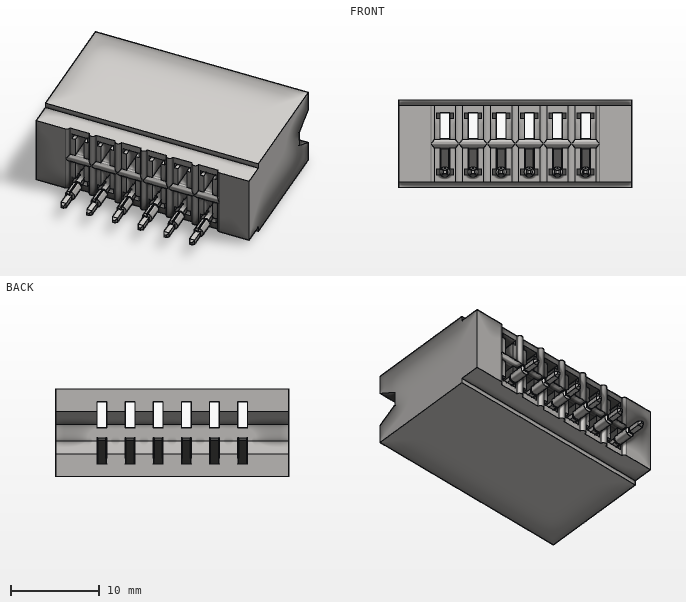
import cadquery as cq


housing_width = 26.3
housing_depth = 16.38
housing_height = 9.9
half_height = housing_height / 2
step_depth = 2.55
step_height = 0.63
front_height = housing_height - 2 * step_height

guide_depth = 2.5
guide_half_mouth = 2.4
guide_half_floor = 0.95

contact_count = 6
row_width = 19.03
pitch = row_width / contact_count
contact_xs = [(i - (contact_count - 1) / 2) * pitch for i in range(contact_count)]
ridge_xs = [(i - contact_count / 2) * pitch for i in range(contact_count + 1)]

recess_depth = 0.37
ridge_half_width = 0.4
rib_half_width = 0.5

slot_width = 1.08
slot_outer_z = 3.5
slot_inner_z = 0.58
lead_in_length = 0.25
pocket_width = 1.95
pocket_depth = 1.7

wire_size = 0.63
pin_z = -slot_outer_z + wire_size / 2
pin_length = 4.45
tip_length = 0.37
tip_size = 0.32
collar_radius = 0.58
collar_end_radius = 0.35
collar_start = 0.05
collar_end = 2.6
barrel_start = 0.4
barrel_end = 2.3
collar_taper = 0.18
seam_width = 0.1
seam_depth = 0.13
shoulder_length = 0.8
blade_width = 0.92
blade_thickness = 0.32
blade_start = 3.15
blade_end = 7.9

pocket_rear = recess_depth + pocket_depth
shoulder_front = pocket_rear - shoulder_length


def box(x_size, y_start, y_end, z_start, z_end, x_center=0.0):
    """Box centred on x_center in X and given by its limits in Y and Z."""
    return cq.Workplane("XY").box(
        x_size, y_end - y_start, z_end - z_start, centered=(True, False, False)
    ).translate((x_center, y_start, z_start))


def side_profile(points, width, x_center):
    """Closed (Y, Z) outline extruded in X, centred on x_center."""
    outline = cq.Workplane("YZ").polyline(points).close()
    return outline.extrude(width / 2, both=True).translate((x_center, 0, 0))


def housing_block():
    """Stepped body with the card guide cut through its rear face."""
    block = box(housing_width, step_depth, housing_depth, -half_height, half_height)
    front = box(housing_width, 0, step_depth, -front_height / 2, front_height / 2)
    guide_floor_y = housing_depth - guide_depth
    guide = side_profile(
        [
            (housing_depth, guide_half_mouth),
            (guide_floor_y, guide_half_floor),
            (guide_floor_y, -guide_half_floor),
            (housing_depth, -guide_half_mouth),
        ],
        housing_width,
        0,
    )
    return block.union(front).cut(guide)


def divider(plane, half_width, length):
    """Bar with an arched front that stands on the recess floor and reaches Y = 0."""
    if plane == "XY":
        section = cq.Workplane("XY").moveTo(-half_width, recess_depth)
        section = section.threePointArc((0, 0), (half_width, recess_depth))
    else:
        section = cq.Workplane("YZ").moveTo(recess_depth, -half_width)
        section = section.threePointArc((0, 0), (recess_depth, half_width))
    return section.close().extrude(length / 2, both=True)


def cavity(x_center):
    """Upper through slot with a side pocket on each side of its outer end."""
    slot = side_profile(
        [
            (0, slot_outer_z),
            (0, rib_half_width),
            (recess_depth, rib_half_width),
            (recess_depth + lead_in_length, slot_inner_z),
            (housing_depth, slot_inner_z),
            (housing_depth, slot_outer_z),
        ],
        slot_width,
        x_center,
    )
    pocket = box(pocket_width, 0, pocket_rear, slot_outer_z - wire_size, slot_outer_z, x_center)
    return slot.union(pocket)


def make_housing():
    body = housing_block()
    body = body.cut(box(row_width, 0, recess_depth, -front_height / 2, front_height / 2))
    for x in ridge_xs:
        body = body.union(divider("XY", ridge_half_width, front_height).translate((x, 0, 0)))
    body = body.union(divider("YZ", rib_half_width, row_width))
    for x in contact_xs:
        upper = cavity(x)
        body = body.cut(upper).cut(upper.mirror("XY"))
    return body


def pin_tip(x_center):
    """Tapered end of the square wire."""
    tip = cq.Workplane("XZ").rect(wire_size, wire_size)
    tip = tip.workplane(offset=tip_length).rect(tip_size, tip_size).loft()
    return tip.translate((x_center, tip_length - pin_length, pin_z))


def collar(x_center):
    """Round sleeve with a wider barrel between two cones, and a seam along its top."""
    outline = [
        (0, -collar_start),
        (collar_end_radius, -collar_start),
        (collar_end_radius, -barrel_start + collar_taper),
        (collar_radius, -barrel_start),
        (collar_radius, -barrel_end),
        (collar_end_radius, -barrel_end - collar_taper),
        (collar_end_radius, -collar_end),
        (0, -collar_end),
    ]
    sleeve = cq.Workplane("XY").polyline(outline).close().revolve(360, (0, 0), (0, 1))
    seam = box(seam_width, -collar_end, -collar_start, collar_radius - seam_depth, collar_radius)
    return sleeve.cut(seam).translate((x_center, 0, pin_z))


def blade(x_center):
    """Bar behind the shoulder that rises to the wall between the rows."""
    wire_bottom = -slot_outer_z
    wire_top = wire_bottom + wire_size
    blade_top = -slot_inner_z
    return side_profile(
        [
            (shoulder_front, wire_bottom),
            (shoulder_front, wire_top),
            (blade_start, wire_top),
            (blade_end, blade_top),
            (blade_end, blade_top - blade_thickness),
            (blade_start, wire_bottom),
        ],
        blade_width,
        x_center,
    )


def make_contact(x_center):
    wire_bottom = -slot_outer_z
    wire_top = wire_bottom + wire_size
    wire = box(wire_size, tip_length - pin_length, shoulder_front, wire_bottom, wire_top, x_center)
    shoulder = box(pocket_width, shoulder_front, pocket_rear, wire_bottom, wire_top, x_center)
    body = wire.union(shoulder).union(blade(x_center))
    return body.union(collar(x_center)).union(pin_tip(x_center))


housing = make_housing()
contacts = [make_contact(x) for x in contact_xs]

result = cq.Compound.makeCompound([housing.val(), *[contact.val() for contact in contacts]])